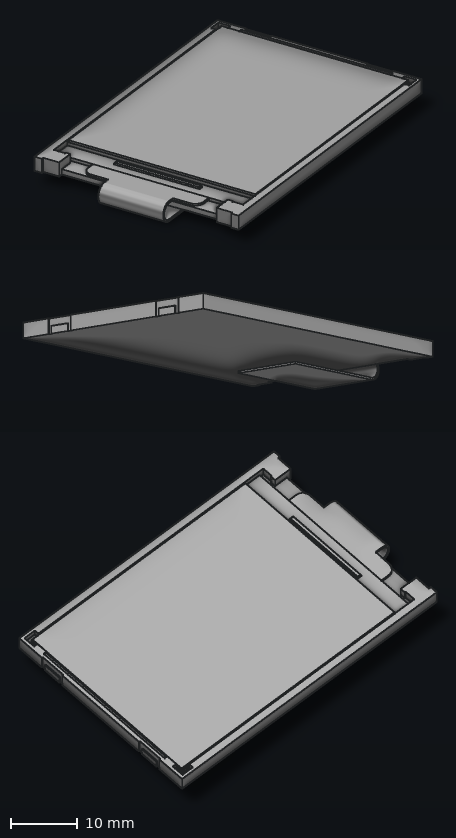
import cadquery as cq


FRAME_WIDTH = 35.89
FRAME_LENGTH = 51.70
FRAME_HEIGHT = 2.40
FLOOR_THICKNESS = 0.92
FLOOR_FRONT_Y = 1.14
OPENING_WIDTH = 33.26
BACK_BAR_DEPTH = 1.28
FOOT_INNER_X = 13.84
FOOT_FRONT_Y = 0.38
FOOT_BACK_Y = 3.55
FOOT_STEP_X = 14.75
FOOT_STEP_DEPTH = 0.17

CORNER_RELIEF_INNER_X = 15.30
CORNER_RELIEF_OUTER_X = 17.40
CORNER_RELIEF_BACK_MARGIN = 0.60
CORNER_RELIEF_FRONT_MARGIN = 2.68
LEDGE_WIDTH = 26.60
LEDGE_BACK_MARGIN = 0.72
LEDGE_DEPTH = 0.37
LATCH_NOTCH_X = 10.70
LATCH_NOTCH_WIDTH = 4.50
LATCH_NOTCH_DEPTH = 0.18
LATCH_BUMP_WIDTH = 3.20
LATCH_BUMP_HEIGHT = 1.20

SHELF_FRONT_Y = 4.12
SHELF_TOP_Z = 1.45
PANEL_STEP_Y = 7.20
PANEL_TOP_Z = 2.03

POLARIZER_TOP_Z = FRAME_HEIGHT
POLARIZER_SIDE_GAP = 0.19

CHIP_LENGTH = 15.10
CHIP_DEPTH = 0.80
CHIP_CENTER_Y = 6.08
CHIP_HEIGHT = 0.25
CHIP_WALL_TAPER = 25

FLEX_THICKNESS = 0.32
TAB_WIDTH = 20.40
TAB_CORNER_RADIUS = 1.50
TAIL_WIDTH = 11.40
TAIL_BOTTOM_Z = -1.94
TAIL_END_Y = 17.10
FLEX_FRONT_Y = -1.66

opening_back_y = FRAME_LENGTH - BACK_BAR_DEPTH
SIDES = (-1, 1)


def block(x_range, y_range, z_range):
    """Box between two limits on each axis."""
    (x0, x1), (y0, y1), (z0, z1) = (sorted(limits) for limits in (x_range, y_range, z_range))
    return cq.Workplane("XY").box(x1 - x0, y1 - y0, z1 - z0, centered=False).translate((x0, y0, z0))


def centered_block(width, y_range, z_range, center_x=0):
    """Box of a given width about center_x."""
    return block((center_x - width / 2, center_x + width / 2), y_range, z_range)


def foot(side):
    """Front foot joined to one side rail, with a stepped back wall."""
    height = (0, FRAME_HEIGHT)
    rail_x = side * OPENING_WIDTH / 2
    inner = block((side * FOOT_INNER_X, side * FOOT_STEP_X), (FOOT_FRONT_Y, FOOT_BACK_Y), height)
    outer = block((side * FOOT_STEP_X, rail_x), (FOOT_FRONT_Y, FOOT_BACK_Y - FOOT_STEP_DEPTH), height)
    return inner.union(outer)


def corner_relief(side):
    """Cutter that widens one back corner of the opening, beside the upper glass."""
    return block(
        (side * CORNER_RELIEF_INNER_X, side * CORNER_RELIEF_OUTER_X),
        (FRAME_LENGTH - CORNER_RELIEF_FRONT_MARGIN, FRAME_LENGTH - CORNER_RELIEF_BACK_MARGIN),
        (SHELF_TOP_Z, FRAME_HEIGHT),
    )


def latch_notch(side):
    """Cutter for a shallow full-height notch in the back face."""
    return centered_block(
        LATCH_NOTCH_WIDTH,
        (FRAME_LENGTH - LATCH_NOTCH_DEPTH, FRAME_LENGTH),
        (0, FRAME_HEIGHT),
        side * LATCH_NOTCH_X,
    )


def latch_bump(side):
    """Low bump that fills the middle of a notch out to the back face."""
    return centered_block(
        LATCH_BUMP_WIDTH,
        (FRAME_LENGTH - LATCH_NOTCH_DEPTH, FRAME_LENGTH),
        (0, LATCH_BUMP_HEIGHT),
        side * LATCH_NOTCH_X,
    )


def make_frame():
    frame = centered_block(FRAME_WIDTH, (0, FRAME_LENGTH), (0, FRAME_HEIGHT))
    frame = frame.cut(centered_block(OPENING_WIDTH, (0, opening_back_y), (0, FRAME_HEIGHT)))
    frame = frame.union(centered_block(OPENING_WIDTH, (FLOOR_FRONT_Y, opening_back_y), (0, FLOOR_THICKNESS)))
    ledge = centered_block(
        LEDGE_WIDTH,
        (opening_back_y, FRAME_LENGTH - LEDGE_BACK_MARGIN),
        (FRAME_HEIGHT - LEDGE_DEPTH, FRAME_HEIGHT),
    )
    frame = frame.cut(ledge)
    for side in SIDES:
        frame = frame.union(foot(side)).cut(corner_relief(side))
        frame = frame.cut(latch_notch(side)).union(latch_bump(side))
    return frame


def make_panel():
    """Stepped glass panel lying on the frame floor."""
    lower = centered_block(OPENING_WIDTH, (SHELF_FRONT_Y, opening_back_y), (FLOOR_THICKNESS, SHELF_TOP_Z))
    upper = centered_block(OPENING_WIDTH, (PANEL_STEP_Y, opening_back_y), (SHELF_TOP_Z, PANEL_TOP_Z))
    return lower.union(upper)


def make_polarizer():
    return centered_block(
        OPENING_WIDTH - 2 * POLARIZER_SIDE_GAP,
        (PANEL_STEP_Y, opening_back_y),
        (PANEL_TOP_Z, POLARIZER_TOP_Z),
    )


def make_driver_chip():
    return (
        cq.Workplane("XY", origin=(0, CHIP_CENTER_Y, SHELF_TOP_Z))
        .rect(CHIP_LENGTH, CHIP_DEPTH)
        .extrude(CHIP_HEIGHT, taper=CHIP_WALL_TAPER)
    )


def make_flex():
    """Tab flush with the panel shelf, and a tail bent half a turn to run back below the frame."""
    top_z = SHELF_TOP_Z
    outer_radius = (top_z - TAIL_BOTTOM_Z) / 2
    inner_radius = outer_radius - FLEX_THICKNESS
    bend_y = FLEX_FRONT_Y + outer_radius
    bend_z = top_z - outer_radius

    tab = centered_block(
        TAB_WIDTH, (FLOOR_FRONT_Y, SHELF_FRONT_Y), (top_z - FLEX_THICKNESS, top_z)
    )
    tab = tab.edges("|Z and <Y").fillet(TAB_CORNER_RADIUS)
    tail = (
        cq.Workplane("YZ")
        .moveTo(FLOOR_FRONT_Y, top_z)
        .lineTo(bend_y, top_z)
        .threePointArc((FLEX_FRONT_Y, bend_z), (bend_y, TAIL_BOTTOM_Z))
        .lineTo(TAIL_END_Y, TAIL_BOTTOM_Z)
        .lineTo(TAIL_END_Y, TAIL_BOTTOM_Z + FLEX_THICKNESS)
        .lineTo(bend_y, TAIL_BOTTOM_Z + FLEX_THICKNESS)
        .threePointArc((bend_y - inner_radius, bend_z), (bend_y, top_z - FLEX_THICKNESS))
        .lineTo(FLOOR_FRONT_Y, top_z - FLEX_THICKNESS)
        .close()
        .extrude(TAIL_WIDTH / 2, both=True)
    )
    return tab.union(tail)


frame = make_frame()
panel = make_panel()
polarizer = make_polarizer()
driver_chip = make_driver_chip()
flex = make_flex()

result = cq.Compound.makeCompound(
    [frame.val(), panel.val(), polarizer.val(), driver_chip.val(), flex.val()]
)